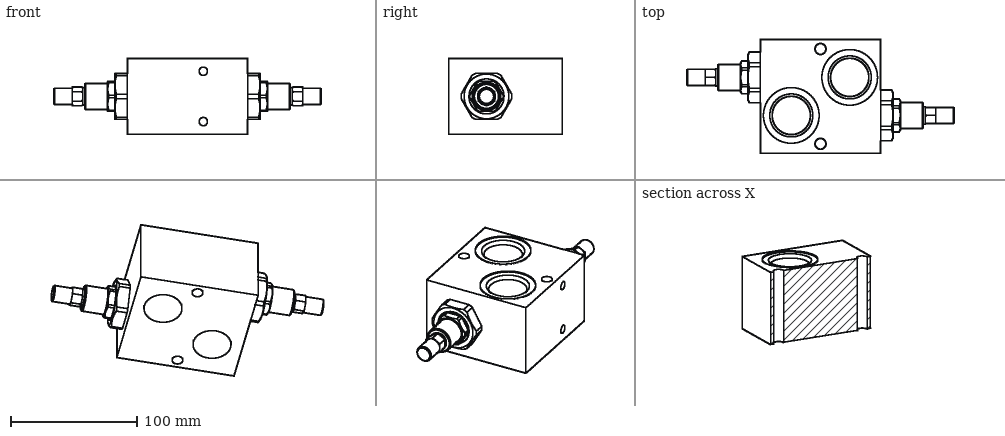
import cadquery as cq
import math

LENGTH = 212.0
BLOCK_X = 95.0
BLOCK_Y = 90.0
BLOCK_Z = 60.0
PROJECTION = (LENGTH - BLOCK_X) / 2

PORT_X = 23.1
PORT_Y = 15.0
SEAL_DIAMETER = 44.0
SEAL_DEPTH = 0.8
LEAD_IN_DIAMETER = 34.1
LEAD_IN_DEPTH = 3.0
THREAD_DIAMETER = 30.3
THREAD_DEPTH = 19.5
PORT_DIAMETER = 30.0

MOUNT_DIAMETER = 8.5
MOUNT_Y = 37.5

BLIND_DIAMETER = 6.5
BLIND_DEPTH = 10.5
BLIND_X = 12.5
BLIND_Z = 20.0
DRILL_POINT_ANGLE = 118

NUT_FLATS = 36.5
NUT_CORNER_DIAMETER = 40.3
NUT_FACE_DIAMETER = 35.5
NUT_TOP = 10.2
RECESS_DIAMETER = 27.8
RECESS_DEPTH = 0.6

COLLAR_FLATS = 23.7
COLLAR_CORNER_DIAMETER = 26.3
COLLAR_FACE_DIAMETER = 22.5
COLLAR_TOP = 16.0

BODY_DIAMETER = 20.8
BODY_TOP = 34.0
BODY_CHAMFER = 0.8

NECK_DIAMETER = 14.0
NECK_TOP = 35.5

LOCKNUT_FLATS = 13.0
LOCKNUT_TOP = 43.7
LOCKNUT_CHAMFER_HEIGHT = 0.8

STUD_DIAMETER = 13.0
STUD_CHAMFER = 0.8

NUT_CHAMFER_ANGLE = 30


def cylinder(diameter, bottom, top):
    return cq.Workplane("XY").workplane(offset=bottom).circle(diameter / 2).extrude(top - bottom)


def across_corners(flats):
    """Corner-to-corner width of a regular hexagon."""
    return flats / math.cos(math.radians(30))


def hexagon(flats, bottom, top, turn=0):
    """Hexagonal prism along Z, with corners on the X axis before turning."""
    base = cq.Workplane("XY").workplane(offset=bottom)
    prism = base.polygon(6, across_corners(flats)).extrude(top - bottom)
    return prism.rotate((0, 0, 0), (0, 0, 1), turn)


def chamfered_hexagon(flats, corner_diameter, face_diameter, bottom, top):
    """Hexagon with turned corners and a conical chamfer at its top."""
    radial = (corner_diameter - face_diameter) / 2
    height = radial * math.tan(math.radians(NUT_CHAMFER_ANGLE))
    turned = cylinder(corner_diameter, bottom, top).faces(">Z").chamfer(height, radial)
    return hexagon(flats, bottom, top, 90).intersect(turned)


def make_locknut():
    """Small hexagon chamfered at the end that meets the neck."""
    corner_diameter = across_corners(LOCKNUT_FLATS)
    radial = (corner_diameter - NECK_DIAMETER) / 2
    turned = cylinder(corner_diameter, NECK_TOP, LOCKNUT_TOP)
    turned = turned.faces("<Z").chamfer(LOCKNUT_CHAMFER_HEIGHT, radial)
    return hexagon(LOCKNUT_FLATS, NECK_TOP, LOCKNUT_TOP).intersect(turned)


def make_cartridge():
    """Adjustable cartridge standing on Z = 0 and pointing up."""
    nut = chamfered_hexagon(NUT_FLATS, NUT_CORNER_DIAMETER, NUT_FACE_DIAMETER, 0, NUT_TOP)
    recess_floor = NUT_TOP - RECESS_DEPTH
    nut = nut.cut(cylinder(RECESS_DIAMETER, recess_floor, NUT_TOP))
    collar = chamfered_hexagon(
        COLLAR_FLATS, COLLAR_CORNER_DIAMETER, COLLAR_FACE_DIAMETER, recess_floor, COLLAR_TOP
    )
    body = cylinder(BODY_DIAMETER, 0, BODY_TOP).faces(">Z").chamfer(BODY_CHAMFER)
    neck = cylinder(NECK_DIAMETER, BODY_TOP, NECK_TOP)
    stud = cylinder(STUD_DIAMETER, NECK_TOP, PROJECTION).faces(">Z").chamfer(STUD_CHAMFER)
    return nut.union(collar).union(body).union(neck).union(make_locknut()).union(stud)


def make_port():
    """Revolved cutter for one port, with its axis on Z."""
    top = BLOCK_Z / 2
    seal_floor = top - SEAL_DEPTH
    lead_in_end = seal_floor - LEAD_IN_DEPTH
    thread_end = seal_floor - THREAD_DEPTH
    profile = [
        (0, top),
        (SEAL_DIAMETER / 2, top),
        (SEAL_DIAMETER / 2, seal_floor),
        (LEAD_IN_DIAMETER / 2, seal_floor),
        (THREAD_DIAMETER / 2, lead_in_end),
        (THREAD_DIAMETER / 2, thread_end),
        (PORT_DIAMETER / 2, thread_end),
        (PORT_DIAMETER / 2, -top),
        (0, -top),
    ]
    return cq.Workplane("XZ").polyline(profile).close().revolve(360, (0, 0, 0), (0, 1, 0))


def make_blind_hole():
    """Drilled hole cutter entering the -Y face, with a conical bottom."""
    radius = BLIND_DIAMETER / 2
    face = -BLOCK_Y / 2
    shoulder = face + BLIND_DEPTH
    tip = shoulder + radius / math.tan(math.radians(DRILL_POINT_ANGLE / 2))
    profile = [(0, face), (radius, face), (radius, shoulder), (0, tip)]
    return cq.Workplane("XY").polyline(profile).close().revolve(360, (0, 0, 0), (0, 1, 0))


def make_block():
    block = cq.Workplane("XY").box(BLOCK_X, BLOCK_Y, BLOCK_Z)
    for side in (-1, 1):
        mount = cylinder(MOUNT_DIAMETER, -BLOCK_Z / 2, BLOCK_Z / 2)
        block = block.cut(make_port().translate((side * PORT_X, side * PORT_Y, 0)))
        block = block.cut(mount.translate((0, side * MOUNT_Y, 0)))
        block = block.cut(make_blind_hole().translate((BLIND_X, 0, side * BLIND_Z)))
    return block


result = make_block()
for side in (-1, 1):
    cartridge = make_cartridge().rotate((0, 0, 0), (0, 1, 0), side * 90)
    result = result.union(cartridge.translate((side * BLOCK_X / 2, -side * PORT_Y, 0)))